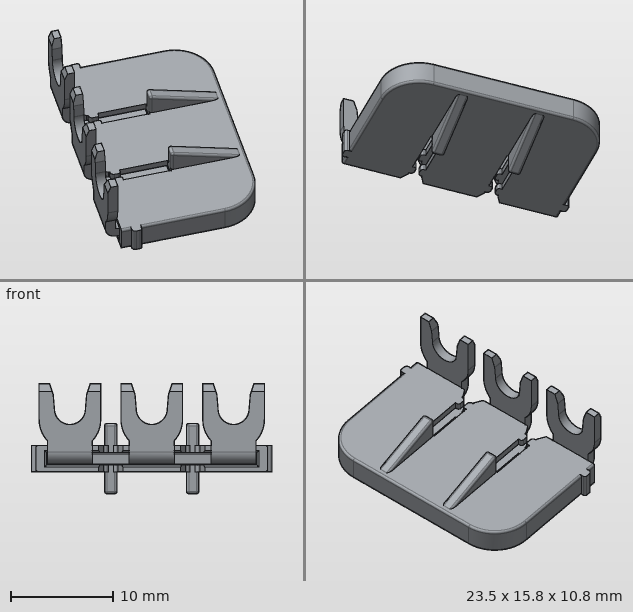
import cadquery as cq
import math

pitch = 8.0
overall_height = 10.76
pole_offsets = (-pitch, 0, pitch)
slot_offsets = (-pitch / 2, pitch / 2)

body_width = 22.6
body_depth = 14.48
body_height = 2.58
corner_radius = 4.0
edge_fillet = 0.24

slot_width = 1.39
slot_depth = 6.86
finger_bevel_x = 0.5
finger_bevel_y = 0.85

lug_reach = 0.45
lug_root = 0.25
lug_front = 0.99
lug_length = 1.0
lug_front_fillet = 0.38
lug_back_fillet = 0.24

rib_width = 1.22
rib_height = 6.89
rib_sharp_height = 7.05
rib_back = 13.85
rib_fillet = 0.24

metal = 1.0
metal_bottom = -0.55
metal_top = metal_bottom + metal
neck_width = 4.4
bend_inner_radius = 0.16
bend_outer_radius = bend_inner_radius + metal
blade_front = -1.32
blade_back = blade_front + metal
bend_y = blade_front + bend_outer_radius
bend_z = metal_bottom + bend_outer_radius
web_setback = 0.19
web_front = slot_depth + web_setback

fork_width = 6.05
fork_radius = fork_width / 2
fork_round_z = 3.8
fork_top = overall_height - rib_height / 2
notch_radius = 1.5
notch_z = 4.85
notch_break_half = 1.62
notch_break_z = 6.25
notch_top_half = 1.97
tip_bevel_y = 0.3
tip_bevel_z = 0.75

cavity_width = 20.55
cavity_depth = 11.05
cavity_height = 1.22
cavity_middle_z = -0.02
funnel = 0.2


def block(x0, x1, y0, y1, z0, z1):
    """Box between two opposite corners."""
    return cq.Workplane("XY").box(x1 - x0, y1 - y0, z1 - z0, centered=False).translate((x0, y0, z0))


def make_body():
    """Flat housing with rounded rear corners and filleted outer edges."""
    body = block(-body_width / 2, body_width / 2, 0, body_depth, -body_height / 2, body_height / 2)
    body = body.edges("|Z and >Y").fillet(corner_radius)
    rim = body.faces("<Z or >Z").edges("not <Y")
    return rim.fillet(edge_fillet)


def slot_cutter(x):
    """Slot between two fingers, flaring open at the front."""
    half = slot_width / 2
    return (
        cq.Workplane("XY", origin=(x, 0, -body_height / 2))
        .moveTo(-half, slot_depth)
        .lineTo(-half, finger_bevel_y)
        .lineTo(-half - finger_bevel_x, 0)
        .lineTo(half + finger_bevel_x, 0)
        .lineTo(half, finger_bevel_y)
        .lineTo(half, slot_depth)
        .close()
        .extrude(body_height)
    )


def make_lug(x, side):
    """Full-height rounded lug on the finger side wall at x, pointing along side."""
    lug = block(-lug_root, lug_reach, lug_front, lug_front + lug_length, -body_height / 2, body_height / 2)
    lug = lug.edges("|Z and >X and <Y").fillet(lug_front_fillet)
    lug = lug.edges("|Z and >X and >Y").fillet(lug_back_fillet)
    if side < 0:
        lug = lug.mirror("YZ")
    return lug.translate((x, 0, 0))


def make_rib(x):
    """Wedge standing proud of both faces, tallest at the slot end."""
    slope = (rib_sharp_height - body_height) / 2 / (rib_back - slot_depth)
    tip_y = slot_depth + rib_sharp_height / 2 / slope
    wedge = (
        cq.Workplane("YZ", origin=(x - rib_width / 2, 0, 0))
        .moveTo(slot_depth, -rib_sharp_height / 2)
        .lineTo(slot_depth, rib_sharp_height / 2)
        .lineTo(tip_y, 0)
        .close()
        .extrude(rib_width)
    )
    wedge = wedge.edges("not (>Y)").fillet(rib_fillet)
    keep = block(x - rib_width, x + rib_width, 0, body_depth - edge_fillet, -rib_height, rib_height)
    return wedge.intersect(keep)


def make_cavity():
    """Wide pocket open to the front, with a funnelled mouth."""
    bottom = cavity_middle_z - cavity_height / 2
    pocket = block(-cavity_width / 2, cavity_width / 2, 0, cavity_depth, bottom, bottom + cavity_height)
    mouth = (
        cq.Workplane("XZ", origin=(0, 0, cavity_middle_z))
        .rect(cavity_width + 2 * funnel, cavity_height + 2 * funnel)
        .workplane(offset=-funnel)
        .rect(cavity_width, cavity_height)
        .loft()
    )
    return pocket.union(mouth)


def make_fork_outline():
    """Fork blade outline in the XZ plane, from the bend up to the tips."""
    neck = neck_width / 2
    shoulder_z = fork_round_z - math.sqrt(fork_radius**2 - neck**2)
    mid_angle = math.acos(neck / fork_radius) / 2
    mid_x = fork_radius * math.cos(mid_angle)
    mid_z = fork_round_z - fork_radius * math.sin(mid_angle)
    return (
        cq.Workplane("XZ", origin=(0, bend_y, 0))
        .moveTo(-neck, metal_bottom)
        .lineTo(neck, metal_bottom)
        .lineTo(neck, shoulder_z)
        .threePointArc((mid_x, mid_z), (fork_radius, fork_round_z))
        .lineTo(fork_radius, fork_top)
        .lineTo(notch_top_half, fork_top)
        .lineTo(notch_break_half, notch_break_z)
        .lineTo(notch_radius, notch_z)
        .threePointArc((0, notch_z - notch_radius), (-notch_radius, notch_z))
        .lineTo(-notch_break_half, notch_break_z)
        .lineTo(-notch_top_half, fork_top)
        .lineTo(-fork_radius, fork_top)
        .lineTo(-fork_radius, fork_round_z)
        .threePointArc((-mid_x, mid_z), (-neck, shoulder_z))
        .close()
        .extrude(bend_y - blade_front)
    )


def make_fork_profile():
    """YZ profile of the bent blade: rounded heel below, bevelled tip above."""
    outer_mid = bend_outer_radius * math.sqrt(0.5)
    inner_mid = bend_inner_radius * math.sqrt(0.5)
    return (
        cq.Workplane("YZ", origin=(-fork_width, 0, 0))
        .moveTo(bend_y, metal_bottom)
        .threePointArc((bend_y - outer_mid, bend_z - outer_mid), (blade_front, bend_z))
        .lineTo(blade_front, fork_top - tip_bevel_z)
        .lineTo(blade_front + tip_bevel_y, fork_top)
        .lineTo(blade_back, fork_top)
        .lineTo(blade_back, bend_z)
        .threePointArc((bend_y - inner_mid, bend_z - inner_mid), (bend_y, metal_top))
        .close()
        .extrude(2 * fork_width)
    )


def make_comb():
    """Metal comb: three bent forks on straight prongs joined by a web."""
    neck = neck_width / 2
    fork = make_fork_outline().intersect(make_fork_profile())
    prong = block(-neck, neck, bend_y, cavity_depth, metal_bottom, metal_top)
    tooth = fork.union(prong)
    comb = block(-pitch - neck, pitch + neck, web_front, cavity_depth, metal_bottom, metal_top)
    for x in pole_offsets:
        comb = comb.union(tooth.translate((x, 0, 0)))
    return comb


housing = make_body()
for x in slot_offsets:
    housing = housing.cut(slot_cutter(x))
    housing = housing.union(make_lug(x - slot_width / 2, 1))
    housing = housing.union(make_lug(x + slot_width / 2, -1))
    housing = housing.union(make_rib(x))
housing = housing.union(make_lug(body_width / 2, 1))
housing = housing.union(make_lug(-body_width / 2, -1))
housing = housing.cut(make_cavity())

result = housing.union(make_comb())